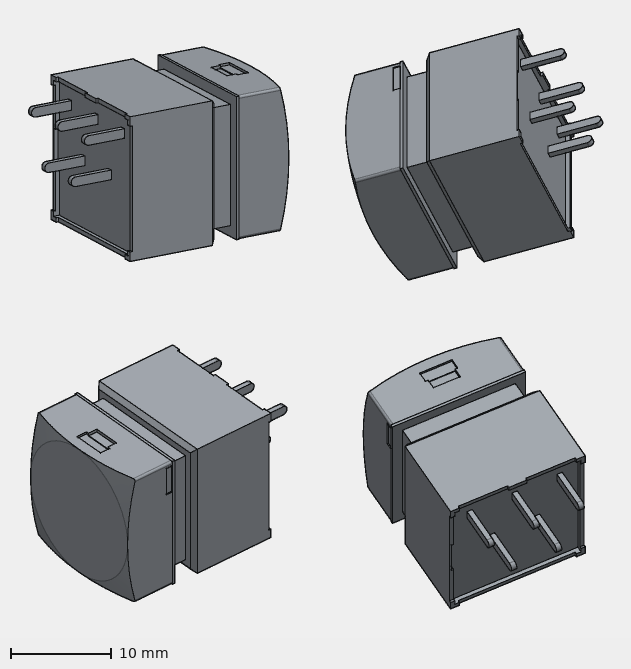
import cadquery as cq
import math


housing_side = 15.23
housing_length = 10.05
housing_chamfer = 0.5
wall = 0.47
rim_relief = 0.25
corner_post = 1.01
centre_tab = 2.07
notch_height = 3.94
notch_depth = 0.25

base_recess = 0.7
base_thickness = 1.0

pin_pitch = 5.08
pin_width = 0.58
pin_height = 1.01
pin_reach = 3.95

neck_side = 12.75
neck_length = 2.36
flange_thickness = 0.32

cap_side = 15.08
cap_length = 5.8
dome_radius = 29.25
cap_corner_radius = 0.25

latch_depth = 0.25
latch_wide_width = 3.65
latch_wide_top = 1.25
latch_step = 2.48
latch_narrow_width = 3.04
latch_narrow_bottom = 3.58
latch_extra_depth = 0.1

side_pocket_length = 0.76
side_pocket_height = 3.2
side_pocket_z = 5.4
side_pocket_depth = 0.14

cavity_side = housing_side - 2 * wall
base_inner_y = base_recess + base_thickness
notch_x = -(cavity_side + notch_depth) / 2
flange_y = housing_length + neck_length
cap_y = flange_y + flange_thickness
crown_y = cap_y + cap_length


def block(x_size, z_size, y_start, y_end, x_mid=0.0, z_mid=0.0):
    """Box spanning y_start..y_end, centred on x_mid and z_mid."""
    box = cq.Workplane("XY").box(x_size, y_end - y_start, z_size)
    return box.translate((x_mid, (y_start + y_end) / 2, z_mid))


def make_housing():
    body = block(housing_side, housing_side, 0, housing_length)
    body = body.faces(">Y").chamfer(housing_chamfer)

    gap = housing_side - 2 * corner_post
    relief = block(gap, housing_side, 0, rim_relief)
    relief = relief.union(block(housing_side, gap, 0, rim_relief))
    tab = block(centre_tab, wall, 0, rim_relief, z_mid=(housing_side - wall) / 2)
    body = body.cut(relief.cut(tab))

    body = body.cut(block(cavity_side, cavity_side, 0, base_inner_y))
    return body.cut(block(notch_depth, notch_height, 0, base_inner_y, x_mid=notch_x))


def make_pin(x, z):
    """Flat terminal with a fully rounded tip."""
    half = pin_height / 2
    profile = (
        cq.Workplane("YZ", origin=(x, 0, z))
        .moveTo(base_recess, -half)
        .lineTo(half - pin_reach, -half)
        .threePointArc((-pin_reach, 0), (half - pin_reach, half))
        .lineTo(base_recess, half)
        .close()
    )
    return profile.extrude(pin_width / 2, both=True)


def make_base():
    """Base plate with three terminals in one row and two in the row below."""
    body = block(cavity_side, cavity_side, base_recess, base_inner_y)
    tongue = block(notch_depth, notch_height, base_recess, base_inner_y, x_mid=notch_x)
    body = body.union(tongue)
    upper_row = [(column * pin_pitch, pin_pitch) for column in (-1, 0, 1)]
    lower_row = [(column * pin_pitch, 0) for column in (-0.5, 0.5)]
    for x, z in upper_row + lower_row:
        body = body.union(make_pin(x, z))
    return body


def make_plunger():
    neck = block(neck_side, neck_side, housing_length, flange_y)
    return neck.union(block(cap_side, cap_side, flange_y, cap_y))


def make_cap_blank():
    """Square cap with a flat top that falls away spherically towards the four corners."""
    body = block(cap_side, cap_side, cap_y, crown_y)
    body = body.edges("|Y").fillet(cap_corner_radius)
    dome_centre_y = crown_y - math.sqrt(dome_radius**2 - (cap_side / 2) ** 2)
    dome = cq.Workplane("XY").sphere(dome_radius).translate((0, dome_centre_y, 0))
    return body.intersect(dome)


def make_cap():
    body = make_cap_blank()

    face_z = cap_side / 2
    top_y = crown_y - latch_wide_top
    step_y = crown_y - latch_step
    bottom_y = crown_y - latch_narrow_bottom
    narrow_depth = latch_depth + latch_extra_depth
    wide = block(latch_wide_width, 2 * latch_depth, step_y, top_y, z_mid=face_z)
    narrow = block(latch_narrow_width, 2 * narrow_depth, bottom_y, step_y, z_mid=face_z)

    side_pocket = block(
        2 * side_pocket_depth,
        side_pocket_height,
        cap_y,
        cap_y + side_pocket_length,
        x_mid=-cap_side / 2,
        z_mid=side_pocket_z,
    )
    return body.cut(wide).cut(narrow).cut(side_pocket)


housing = make_housing()
base = make_base()
plunger = make_plunger()
cap = make_cap()

result = cq.Compound.makeCompound([body.solids().val() for body in (housing, base, plunger, cap)])